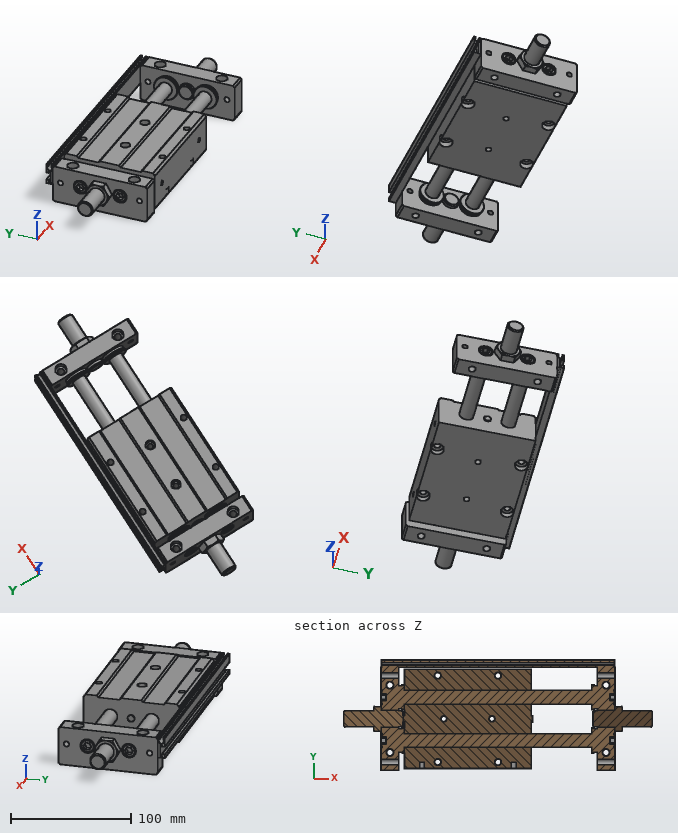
import cadquery as cq
import math


hexagon_flat_ratio = math.cos(math.pi / 6)

overall_length = 257.0
frame_length = 194.8
plate_thickness = 15.0
collar_length = 4.5
plate_inner_x = frame_length / 2 - plate_thickness
plate_mid_x = frame_length / 2 - plate_thickness / 2

rod_diameter = 12.0
rod_offset_y = 18.0
rod_end_groove_depth = 0.8
rod_end_groove_width = 0.8
rod_socket_flats = 6.0
rod_socket_depth = 4.0
collar_diameter = 19.8
flange_diameter = 21.0
flange_thickness = 1.3
step_diameter = 20.5
step_thickness = 1.0

plate_width = 85.8
plate_top_z = 14.6
plate_bottom_z = -19.0
plate_chamfer = 1.5
mount_hole_offset_y = 28.0
mount_hole_diameter = 5.7
mount_bore_diameter = 9.5
mount_bore_depth = 7.7
side_hole_offset_y = 36.0
side_hole_diameter = 4.5

rail_depth = 6.2
rail_bottom_z = -3.3
rail_web = 2.0
rail_end_inset = 0.3
rail_slot_opening = 3.0
rail_slot_diameter = 4.0
rail_slot_centre_z = 11.5
rail_lip_height = 1.5
rail_bridge_bottom_z = 8.5
rail_block_depth = 2.5
rail_upper_block_bottom_z = 7.0
rail_lower_block_top_z = 0.0
rail_base = 1.0

carriage_length = 105.5
carriage_width = 82.8
carriage_height = 34.0
carriage_corner_y = 1.8
carriage_corner_z = 2.3
pad_step = 1.5
centre_pad_half_width = 8.7
outer_pad_inner_y = 29.8
edge_hole_spacing = 50.0
edge_hole_offset_y = 36.0
edge_hole_diameter = 5.1
edge_bore_diameter = 10.8
edge_bore_top_z = -11.8
centre_hole_spacing = 40.0
centre_hole_diameter = 4.5
centre_bore_diameter = 8.0
centre_bore_depth = 5.1
port_spacing = 76.3
port_diameter = 4.0
port_depth = 5.1
port_orifice_diameter = 2.0
button_diameter = 6.0
button_height = 1.0

carriage_left_x = -(plate_inner_x - collar_length)
carriage_mid_x = carriage_left_x + carriage_length / 2
carriage_top_z = carriage_height / 2

stud_diameter = 14.0
stud_chamfer = 1.0
nut_flats = 19.0
nut_thickness = 6.2
nut_bevel_angle = 30.0
stud_inner_x = -carriage_left_x + button_height


def cylinder_x(start_x, end_x, diameter, y=0.0):
    """Cylinder along X between two X positions."""
    disc = cq.Workplane("YZ", origin=(start_x, y, 0)).circle(diameter / 2)
    return disc.extrude(end_x - start_x)


def cylinder_z(x, y, bottom_z, top_z, diameter):
    """Upright cylinder between two heights."""
    disc = cq.Workplane("XY", origin=(x, y, bottom_z)).circle(diameter / 2)
    return disc.extrude(top_z - bottom_z)


def hexagon_x(start_x, end_x, flats, y=0.0):
    """Hexagonal prism along X, with flats at top and bottom."""
    corner_diameter = flats / hexagon_flat_ratio
    outline = cq.Workplane("YZ", origin=(start_x, y, 0)).polygon(6, corner_diameter)
    return outline.extrude(end_x - start_x)


def make_right_end_plate():
    """End plate with its screw holes and the bore for the stop stud."""
    height = plate_top_z - plate_bottom_z
    plate = cq.Workplane("XY").box(plate_thickness, plate_width, height)
    plate = plate.edges("|X").chamfer(plate_chamfer)
    plate = plate.translate((plate_mid_x, 0, (plate_top_z + plate_bottom_z) / 2))
    outer_x = frame_length / 2
    for side in (-1, 1):
        mount_y = side * mount_hole_offset_y
        bore_bottom_z = plate_top_z - mount_bore_depth
        plate = plate.cut(cylinder_z(plate_mid_x, mount_y, plate_bottom_z, plate_top_z, mount_hole_diameter))
        plate = plate.cut(cylinder_z(plate_mid_x, mount_y, bore_bottom_z, plate_top_z, mount_bore_diameter))
        side_y = side * side_hole_offset_y
        plate = plate.cut(cylinder_x(plate_inner_x, outer_x, side_hole_diameter, side_y))
    return plate.cut(cylinder_x(plate_inner_x, outer_x, stud_diameter))


def make_right_collar(y):
    """Stepped bumper collar around a rod, standing on the inner face of the end plate."""
    face_x = plate_inner_x - collar_length
    step_x = face_x + flange_thickness
    collar = cylinder_x(face_x, plate_inner_x, collar_diameter, y)
    collar = collar.union(cylinder_x(step_x, step_x + step_thickness, step_diameter, y))
    return collar.union(cylinder_x(face_x, step_x, flange_diameter, y))


def make_right_rod_end_cut(y):
    """Ring groove around a rod end, and the hexagon socket at its centre."""
    outer_x = frame_length / 2
    groove_x = outer_x - rod_end_groove_depth
    head_diameter = rod_diameter - 2 * rod_end_groove_width
    groove = cylinder_x(groove_x, outer_x, rod_diameter, y)
    groove = groove.cut(cylinder_x(groove_x, outer_x, head_diameter, y))
    return groove.union(hexagon_x(outer_x - rod_socket_depth, outer_x, rod_socket_flats, y))


def make_rail():
    """Sensor rail: a round-bottomed slot open at the top, above a side channel."""
    inner_y = plate_width / 2
    outer_y = inner_y + rail_depth
    web_y = inner_y + rail_web
    block_y = outer_y - rail_block_depth
    slot_y = (inner_y + outer_y) / 2
    slot_radius = rail_slot_diameter / 2
    lip_z = plate_top_z - rail_lip_height
    rail_length = frame_length - 2 * rail_end_inset
    section = cq.Workplane("YZ", origin=(-rail_length / 2, 0, 0))
    outline = [
        (inner_y, rail_bottom_z),
        (outer_y, rail_bottom_z),
        (outer_y, rail_lower_block_top_z),
        (block_y, rail_lower_block_top_z),
        (block_y, rail_bottom_z + rail_base),
        (web_y, rail_bottom_z + rail_base),
        (web_y, rail_bridge_bottom_z),
        (block_y, rail_bridge_bottom_z),
        (block_y, rail_upper_block_bottom_z),
        (outer_y, rail_upper_block_bottom_z),
        (outer_y, plate_top_z),
        (inner_y, plate_top_z),
    ]
    rail = section.polyline(outline).close().extrude(rail_length)
    slot = (
        section.moveTo(slot_y + slot_radius, lip_z)
        .lineTo(slot_y + slot_radius, rail_slot_centre_z)
        .threePointArc(
            (slot_y, rail_slot_centre_z - slot_radius),
            (slot_y - slot_radius, rail_slot_centre_z),
        )
        .lineTo(slot_y - slot_radius, lip_z)
        .close()
        .extrude(rail_length)
    )
    opening = section.center(slot_y, (rail_slot_centre_z + plate_top_z) / 2)
    opening = opening.rect(rail_slot_opening, plate_top_z - rail_slot_centre_z).extrude(rail_length)
    return rail.cut(slot).cut(opening)


def make_frame():
    """Two end plates tied together by the guide rods and the sensor rail."""
    half = make_right_end_plate()
    for side in (-1, 1):
        half = half.union(make_right_collar(side * rod_offset_y))
    frame = half.union(half.mirror("YZ"))
    for side in (-1, 1):
        rod_y = side * rod_offset_y
        frame = frame.union(cylinder_x(-frame_length / 2, frame_length / 2, rod_diameter, rod_y))
        end_cut = make_right_rod_end_cut(rod_y)
        frame = frame.cut(end_cut).cut(end_cut.mirror("YZ"))
    return frame.union(make_rail())


def make_carriage_blank():
    """Carriage extrusion with three raised pads on its top."""
    half_width = carriage_width / 2
    valley_z = carriage_top_z - pad_step
    right_half = [
        (half_width, -carriage_top_z),
        (half_width, carriage_top_z - carriage_corner_z),
        (half_width - carriage_corner_y, carriage_top_z),
        (outer_pad_inner_y, carriage_top_z),
        (outer_pad_inner_y - pad_step, valley_z),
        (centre_pad_half_width + pad_step, valley_z),
        (centre_pad_half_width, carriage_top_z),
    ]
    left_half = [(-y, z) for y, z in reversed(right_half)]
    profile = cq.Workplane("YZ", origin=(carriage_left_x, 0, 0)).polyline(right_half + left_half).close()
    return profile.extrude(carriage_length)


def make_port(x):
    """Air port in the -Y face: a bore with an orifice leading on into the rod bore."""
    front_y = -carriage_width / 2
    face = cq.Workplane("XZ", origin=(x, front_y, 0))
    bore = face.circle(port_diameter / 2).extrude(-port_depth)
    orifice = face.circle(port_orifice_diameter / 2).extrude(front_y + rod_offset_y)
    return bore.union(orifice)


def make_carriage():
    """Carriage sliding on both rods, with a stop button on each end face."""
    right_x = carriage_left_x + carriage_length
    carriage = make_carriage_blank()
    for side in (-1, 1):
        carriage = carriage.cut(cylinder_x(carriage_left_x, right_x, rod_diameter, side * rod_offset_y))
    for end in (-1, 1):
        edge_x = carriage_mid_x + end * edge_hole_spacing / 2
        for side in (-1, 1):
            edge_y = side * edge_hole_offset_y
            carriage = carriage.cut(
                cylinder_z(edge_x, edge_y, -carriage_top_z, carriage_top_z, edge_hole_diameter)
            )
            carriage = carriage.cut(
                cylinder_z(edge_x, edge_y, -carriage_top_z, edge_bore_top_z, edge_bore_diameter)
            )
        centre_x = carriage_mid_x + end * centre_hole_spacing / 2
        bore_bottom_z = carriage_top_z - centre_bore_depth
        carriage = carriage.cut(
            cylinder_z(centre_x, 0, -carriage_top_z, carriage_top_z, centre_hole_diameter)
        )
        carriage = carriage.cut(cylinder_z(centre_x, 0, bore_bottom_z, carriage_top_z, centre_bore_diameter))
        carriage = carriage.cut(make_port(carriage_mid_x + end * port_spacing / 2))
    buttons = cylinder_x(carriage_left_x - button_height, carriage_left_x, button_diameter)
    buttons = buttons.add(cylinder_x(right_x, right_x + button_height, button_diameter))
    return carriage.union(buttons)


def make_nut():
    """Hexagon nut against the outer plate face, its outer corners bevelled by a cone."""
    inner_x = frame_length / 2
    outer_x = inner_x + nut_thickness
    flat_radius = nut_flats / 2
    corner_radius = flat_radius / hexagon_flat_ratio
    bevel_length = (corner_radius - flat_radius) * math.tan(math.radians(nut_bevel_angle))
    envelope = cylinder_x(inner_x, outer_x, 2 * corner_radius)
    envelope = envelope.faces(">X").chamfer(bevel_length, corner_radius - flat_radius)
    return hexagon_x(inner_x, outer_x, nut_flats).intersect(envelope)


def make_right_stop_stud():
    """Stop stud through the end plate, with its lock nut."""
    stud = cylinder_x(stud_inner_x, overall_length / 2, stud_diameter)
    stud = stud.faces("<X or >X").chamfer(stud_chamfer)
    return stud.union(make_nut())


def make_stop_studs():
    """The two stop studs, mirrored about the middle of the unit."""
    studs = []
    for end in (1, -1):
        stud = make_right_stop_stud()
        if end < 0:
            stud = stud.mirror("YZ")
        studs.append(stud.val())
    return studs


frame = make_frame()
carriage = make_carriage()
stop_studs = make_stop_studs()

result = cq.Compound.makeCompound([frame.val(), carriage.val(), *stop_studs])